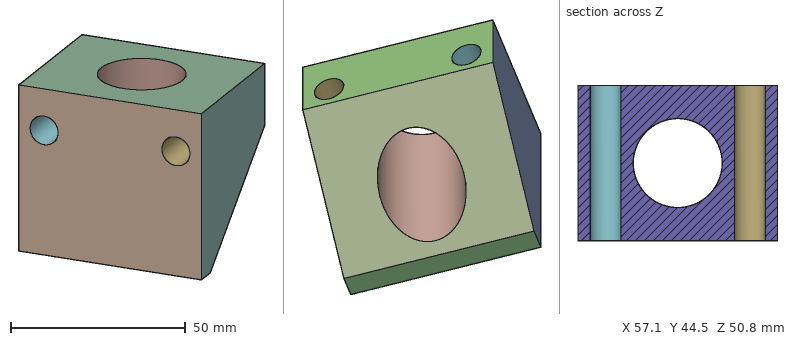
import cadquery as cq

width = 57.15
depth = 44.45
height = 50.8
back_height = 19.05
foot_depth = 6.35

bore_diameter = 25.4
bolt_diameter = 8.75
bolt_spacing = 41.25
bolt_drop = 12.7

front_y = -depth / 2
back_y = depth / 2


def wedge_block():
    """Side profile with a sloped lower back, extruded across the width."""
    profile = [
        (front_y, 0),
        (front_y + foot_depth, 0),
        (back_y, height - back_height),
        (back_y, height),
        (front_y, height),
    ]
    return cq.Workplane("YZ").polyline(profile).close().extrude(width / 2, both=True)


def vertical_bore():
    """Central bore, top to bottom."""
    return cq.Workplane("XY").circle(bore_diameter / 2).extrude(height)


def bolt_holes():
    """Pair of holes running front to back, either side of the bore."""
    bolt_z = height - bolt_drop
    centers = [(side * bolt_spacing / 2, bolt_z) for side in (-1, 1)]
    return (
        cq.Workplane("XZ")
        .pushPoints(centers)
        .circle(bolt_diameter / 2)
        .extrude(depth / 2, both=True)
    )


result = wedge_block().cut(vertical_bore()).cut(bolt_holes())